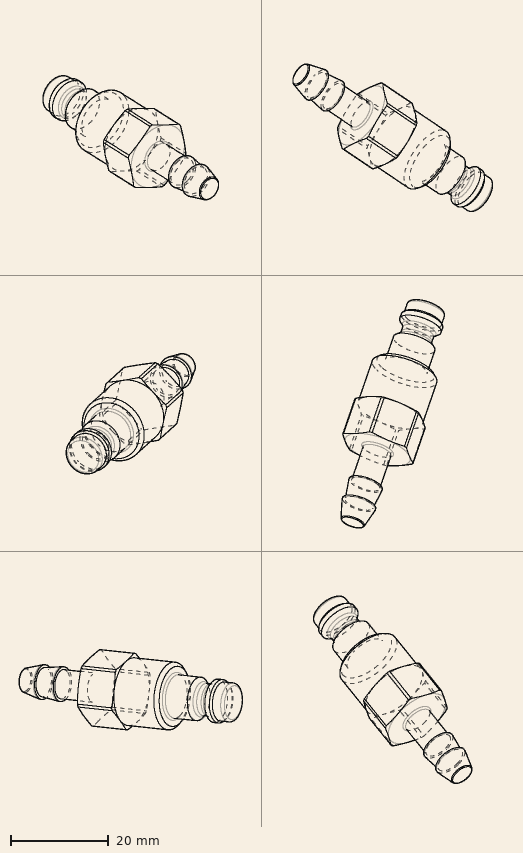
import cadquery as cq
import math

total_length = 50.0
collar_start = 3.0
collar_end = 4.1
shank_start = 8.3
body_start = 14.0
hex_start = 24.4
hex_end = 33.0
barb_starts = (41.0, 45.5)

tip_radius = 8.1 / 2
plug_radius = 9.0 / 2
groove_radius = 6.7 / 2
body_radius = 14.0 / 2
stub_radius = 6.05 / 2
barb_radius = 7.2 / 2
barb_root_radius = 6.05 / 2
hose_end_radius = 5.1 / 2

tip_round = 0.55
groove_fillet = 1.0
shank_flare = 0.45
body_chamfer = 0.8
stub_fillet = 0.4
barb_land = 0.3
hose_end_chamfer = 0.2

across_flats = 14.0
hex_corner_radius = 7.9
hex_tilt = 11.3
hex_chamfer_length = 0.2


def revolve(profile):
    """Close a profile back to the X axis and turn it about that axis."""
    return profile.close().revolve(360, (0, 0, 0), (1, 0, 0))


def concave_fillet(profile, corner, incoming, outgoing, radius):
    """Draw up to a corner and round it; angles are travel directions in degrees."""
    turn = math.radians(outgoing - incoming)
    setback = radius * math.tan(abs(turn) / 2)
    middle_offset = radius * (1 / math.cos(turn / 2) - 1)
    side = math.copysign(90, turn)
    bisector = math.radians((incoming + outgoing) / 2 + side)

    def from_corner(distance, angle):
        return (corner[0] + distance * math.cos(angle), corner[1] + distance * math.sin(angle))

    start = from_corner(-setback, math.radians(incoming))
    middle = from_corner(middle_offset, bisector)
    end = from_corner(setback, math.radians(outgoing))
    return profile.lineTo(*start).threePointArc(middle, end)


def make_plug():
    """Plug nose with its locking groove, and the large round body."""
    collar_chamfer = plug_radius - tip_radius
    groove_depth = plug_radius - groove_radius
    groove_start = (collar_end + groove_depth, groove_radius)
    groove_end = (shank_start - groove_depth, groove_radius)
    arc_inset = tip_round * (1 - math.sqrt(0.5))

    profile = (
        cq.Workplane("XY")
        .lineTo(0, tip_radius - tip_round)
        .threePointArc((arc_inset, tip_radius - arc_inset), (tip_round, tip_radius))
        .lineTo(collar_start - collar_chamfer, tip_radius)
        .lineTo(collar_start, plug_radius)
        .lineTo(collar_end, plug_radius)
    )
    profile = concave_fillet(profile, groove_start, -45, 0, groove_fillet)
    profile = concave_fillet(profile, groove_end, 0, 45, groove_fillet)
    profile = profile.lineTo(shank_start, plug_radius)
    profile = concave_fillet(profile, (body_start, plug_radius), 0, 90, shank_flare)
    profile = (
        profile.lineTo(body_start, body_radius - body_chamfer)
        .lineTo(body_start + body_chamfer, body_radius)
        .lineTo(hex_start, body_radius)
        .lineTo(hex_start, 0)
    )
    return revolve(profile)


def make_hex():
    """Hexagon with turned-off corners and coned end faces."""
    hex_length = hex_end - hex_start
    prism = (
        cq.Workplane("YZ", origin=(hex_start, 0, 0))
        .transformed(rotate=(0, 0, hex_tilt))
        .polygon(6, across_flats, circumscribed=True)
        .extrude(hex_length)
    )
    face_radius = across_flats / 2
    blank = revolve(
        cq.Workplane("XY")
        .moveTo(hex_start, 0)
        .lineTo(hex_start, face_radius)
        .lineTo(hex_start + hex_chamfer_length, hex_corner_radius)
        .lineTo(hex_end - hex_chamfer_length, hex_corner_radius)
        .lineTo(hex_end, face_radius)
        .lineTo(hex_end, 0)
    )
    return prism.intersect(blank)


def make_hose_stub():
    """Hose stem with a filleted root and tapered barbs."""
    profile = cq.Workplane("XY").moveTo(hex_end, 0)
    profile = concave_fillet(profile, (hex_end, stub_radius), -90, 0, stub_fillet)
    profile = profile.lineTo(barb_starts[0], stub_radius)
    taper_ends = (
        (barb_starts[1], barb_root_radius),
        (total_length - hose_end_chamfer, hose_end_radius),
    )
    for barb_start, taper_end in zip(barb_starts, taper_ends):
        profile = (
            profile.lineTo(barb_start, barb_radius)
            .lineTo(barb_start + barb_land, barb_radius)
            .lineTo(*taper_end)
        )
    profile = profile.lineTo(total_length, hose_end_radius - hose_end_chamfer).lineTo(total_length, 0)
    return revolve(profile)


result = make_plug().union(make_hex()).union(make_hose_stub())